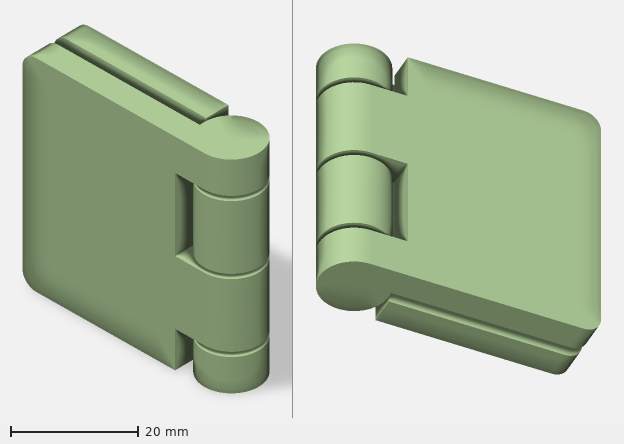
import cadquery as cq

hinge_height = 45.0
barrel_radius = 6.0
axis_to_free_edge = 40.0
leaf_thickness = 5.0
corner_radius = 3.0
pin_radius = 3.0
knuckle_gap = 1.0
notch_clearance = 0.5
end_knuckle_height = 7.0

FRONT = -1
BACK = 1

notch_x = -(barrel_radius + notch_clearance)
middle_knuckle_height = (hinge_height - 2 * end_knuckle_height - 3 * knuckle_gap) / 2

knuckles = [
    (BACK, end_knuckle_height),
    (FRONT, middle_knuckle_height),
    (BACK, middle_knuckle_height),
    (FRONT, end_knuckle_height),
]


def slab(side, start_x, end_x, height):
    """Block as thick as a leaf, with its outer face tangent to the barrel."""
    middle_y = side * (barrel_radius - leaf_thickness / 2)
    block = cq.Workplane("XY").box(end_x - start_x, leaf_thickness, height, centered=(False, True, False))
    return block.translate((start_x, middle_y, 0))


def leaf(side):
    """Flat plate on one side of the gap, with its two free corners rounded."""
    plate = slab(side, -axis_to_free_edge, notch_x, hinge_height)
    return plate.edges("|Y and <X").fillet(corner_radius)


def knuckle(side, height):
    """Barrel segment with a tangent web that joins it to its leaf."""
    barrel = cq.Workplane("XY").circle(barrel_radius).extrude(height)
    return barrel.union(slab(side, notch_x, 0, height))


def pin():
    """Pin joining all the knuckles, flush with both ends of the hinge."""
    return cq.Workplane("XY").circle(pin_radius).extrude(hinge_height)


result = pin().union(leaf(FRONT)).union(leaf(BACK))
knuckle_bottom = 0.0
for side, height in knuckles:
    result = result.union(knuckle(side, height).translate((0, 0, knuckle_bottom)))
    knuckle_bottom += height + knuckle_gap